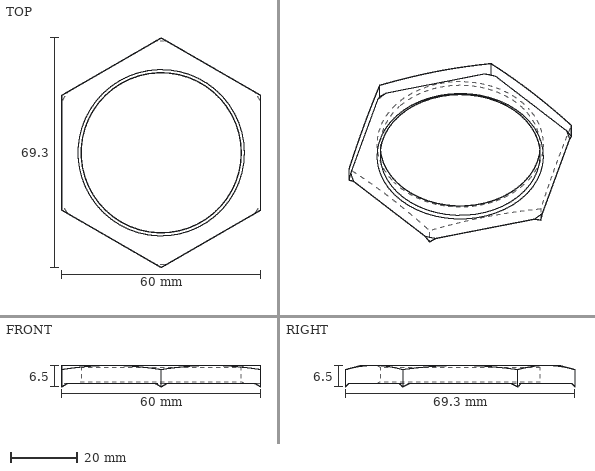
import cadquery as cq
import math

corner_radius = 34.65
flat_radius = corner_radius * math.cos(math.radians(30))
height = 6.5

top_chamfer_angle = 15.0
top_chamfer_drop = (corner_radius - flat_radius) * math.tan(math.radians(top_chamfer_angle))

tooth_height = 1.05
recess_radius = 33.7

bore_radius = 24.1
bore_mouth_radius = 25.1
bore_chamfer_angle = 30.0
bore_chamfer_depth = (bore_mouth_radius - bore_radius) * math.tan(math.radians(bore_chamfer_angle))


def nut_blank():
    """Ring turned about Z, with the top chamfer, the bottom recess and the chamfered bore."""
    profile = [
        (bore_radius, tooth_height + bore_chamfer_depth),
        (bore_mouth_radius, tooth_height),
        (recess_radius, tooth_height),
        (corner_radius, 0),
        (corner_radius, height - top_chamfer_drop),
        (flat_radius, height),
        (bore_mouth_radius, height),
        (bore_radius, height - bore_chamfer_depth),
    ]
    return cq.Workplane("XZ").polyline(profile).close().revolve(360, (0, 0), (0, 1))


def hexagon_prism():
    """Hexagonal envelope of the nut."""
    return (
        cq.Workplane("XY")
        .transformed(rotate=(0, 0, 90))
        .polygon(6, 2 * corner_radius)
        .extrude(height)
    )


result = hexagon_prism().intersect(nut_blank())